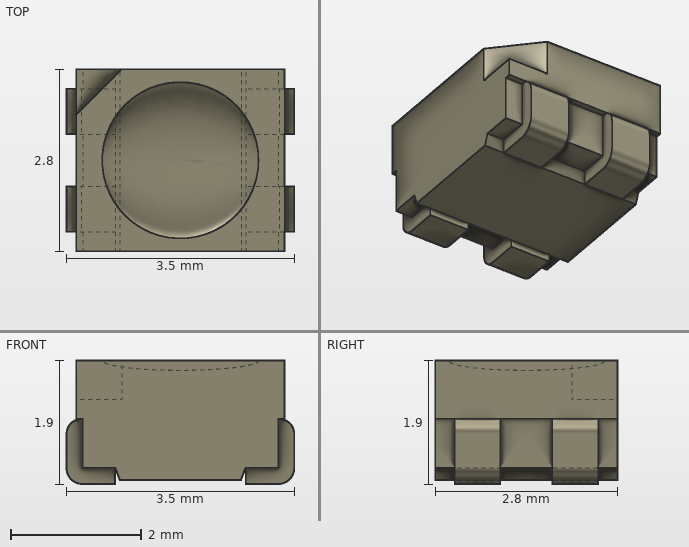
import cadquery as cq

overall_length = 3.5
body_width = 2.8
body_top = 1.9

lead_thickness = 0.25
lead_height = 1.0
lead_foot_length = 0.75
lead_width = 0.7
lead_pitch = 1.5
lead_bend_radius = 0.25
lead_tip_radius = 0.23

upper_length = 3.2
lower_length = overall_length - 2 * lead_thickness
foot_bottom = 0.063
foot_top_length = overall_length - 2 * lead_foot_length
foot_taper = 0.07

dish_diameter = 2.4
dish_depth = 0.15

notch_leg = 0.7
notch_depth = 0.6


def make_housing():
    """Extrude the stepped X-Z profile across the full width."""
    half_foot = foot_top_length / 2
    right_side = [
        (half_foot - foot_taper, foot_bottom),
        (half_foot, lead_thickness),
        (lower_length / 2, lead_thickness),
        (lower_length / 2, lead_height),
        (upper_length / 2, lead_height),
        (upper_length / 2, body_top),
    ]
    left_side = [(-x, z) for x, z in reversed(right_side)]
    profile = cq.Workplane("XZ").polyline(right_side + left_side).close()
    return profile.extrude(body_width / 2, both=True)


def make_dish():
    """Lower half of a flattened ellipsoid: an ellipse quadrant revolved about Z."""
    dish_radius = dish_diameter / 2
    quadrant = (
        cq.Workplane("XZ", origin=(0, 0, body_top))
        .moveTo(0, -dish_depth)
        .ellipseArc(dish_radius, dish_depth, angle1=270, angle2=360, startAtCurrent=True)
        .lineTo(0, 0)
        .close()
    )
    return quadrant.revolve(360, (0, 0, 0), (0, 1, 0))


def make_notch():
    """Triangular prism that cuts off the top of the marked corner."""
    corner_x = -upper_length / 2
    corner_y = body_width / 2
    return (
        cq.Workplane("XY", origin=(0, 0, body_top))
        .moveTo(corner_x, corner_y)
        .lineTo(corner_x + notch_leg, corner_y)
        .lineTo(corner_x, corner_y - notch_leg)
        .close()
        .extrude(-notch_depth)
    )


def make_lead(y_centre):
    """L-shaped lead on the +X side, rounded at its outer bend and upper tip."""
    outer_x = overall_length / 2
    inner_x = outer_x - lead_thickness
    upright = (
        cq.Workplane("XY")
        .box(lead_thickness, lead_width, lead_height, centered=(False, True, False))
        .translate((inner_x, y_centre, 0))
    )
    foot = (
        cq.Workplane("XY")
        .box(lead_foot_length, lead_width, lead_thickness, centered=(False, True, False))
        .translate((outer_x - lead_foot_length, y_centre, 0))
    )
    lead = upright.union(foot)
    lead = lead.faces(">X").edges("<Z").fillet(lead_bend_radius)
    return lead.faces(">X").edges(">Z").fillet(lead_tip_radius)


result = make_housing().cut(make_notch()).cut(make_dish())
for y_centre in (-lead_pitch / 2, lead_pitch / 2):
    lead = make_lead(y_centre)
    result = result.union(lead).union(lead.mirror("YZ"))